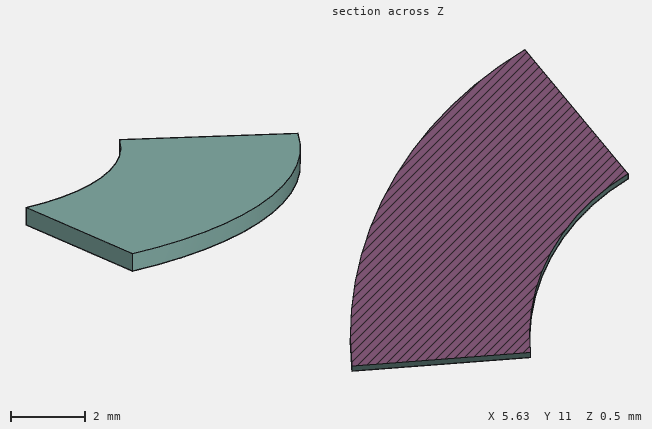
import cadquery as cq
import math

outer_radius = 11
inner_radius = 6.2
thickness = 0.5
sector_angle = 60

half_angle = math.radians(sector_angle / 2)


def rim_point(radius, angle):
    """Point at a radius and an angle (radians) from the X axis."""
    return (radius * math.cos(angle), radius * math.sin(angle))


result = (
    cq.Workplane("XY")
    .moveTo(*rim_point(inner_radius, -half_angle))
    .lineTo(*rim_point(outer_radius, -half_angle))
    .threePointArc(rim_point(outer_radius, 0), rim_point(outer_radius, half_angle))
    .lineTo(*rim_point(inner_radius, half_angle))
    .threePointArc(rim_point(inner_radius, 0), rim_point(inner_radius, -half_angle))
    .close()
    .extrude(thickness)
)